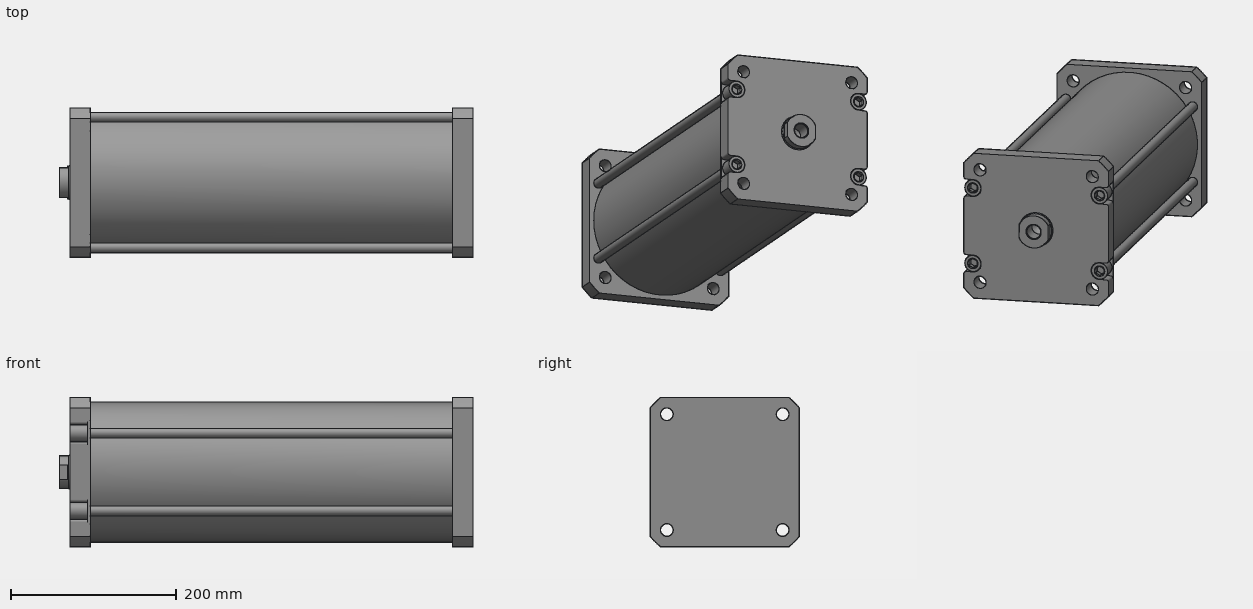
import cadquery as cq
import math

total_length = 499.2
rod_protrusion = 12.5
plate_thickness = 25.0
plate_side = 180.0
barrel_radius = 85.0

front_plate_x = rod_protrusion
barrel_start_x = front_plate_x + plate_thickness
rear_plate_x = total_length - plate_thickness
barrel_length = rear_plate_x - barrel_start_x

corner_setback = 12.5
mounting_offset = 70.0
mounting_diameter = 15.0

tie_y = 79.0
tie_z = 47.0
tie_diameter = 12.0
tie_engagement = 15.0
head_diameter = 20.0
head_length = 21.5
socket_sides = 6
socket_width = 10.0
socket_mouth_diameter = 13.0
socket_depth = 10.0
pocket_width = 21.0
pocket_depth = head_length
pocket_mouth_rounding = 3.0
tie_places = [(y, z) for y in (-tie_y, tie_y) for z in (-tie_z, tie_z)]

rod_diameter = 42.0
rod_end_diameter = 40.0
rod_flat_width = 36.0
rod_flat_length = 10.0
shoulder_start_x = 11.0
shoulder_length = 1.5
bore_diameter = 17.0
bore_chamfer = 1.0
bore_depth = 25.0
drill_point_angle = 118.0


def section_at(x):
    """Workplane facing +X at the given x; its local axes are Y and Z."""
    return cq.Workplane("YZ", origin=(x, 0, 0))


def cylinder(x, diameter, length, places=((0, 0),)):
    return section_at(x).pushPoints(places).circle(diameter / 2).extrude(length)


def make_plate_blank(x):
    """Square plate with corners turned about the axis and four mounting holes."""
    half_side = plate_side / 2
    corner_radius = math.hypot(half_side, half_side - corner_setback)
    square = section_at(x).rect(plate_side, plate_side).extrude(plate_thickness)
    plate = square.intersect(cylinder(x, 2 * corner_radius, plate_thickness))
    mounting_places = [(y, z) for y in (-mounting_offset, mounting_offset)
                       for z in (-mounting_offset, mounting_offset)]
    return plate.cut(cylinder(x, mounting_diameter, plate_thickness, mounting_places))


def make_head_pocket(y, z):
    """Round-ended pocket that opens through the nearer Y side with a flared, rounded mouth."""
    side = math.copysign(1, y)
    half_width = pocket_width / 2
    side_y = side * plate_side / 2
    flare_y = side_y - side * pocket_mouth_rounding
    inset = pocket_mouth_rounding * (1 - math.sqrt(0.5))
    return (
        section_at(front_plate_x)
        .moveTo(y, z + half_width)
        .lineTo(flare_y, z + half_width)
        .threePointArc(
            (side_y - side * inset, z + half_width + inset),
            (side_y, z + half_width + pocket_mouth_rounding),
        )
        .lineTo(side_y, z - half_width - pocket_mouth_rounding)
        .threePointArc(
            (side_y - side * inset, z - half_width - inset),
            (flare_y, z - half_width),
        )
        .lineTo(y, z - half_width)
        .threePointArc((y - side * half_width, z), (y, z + half_width))
        .close()
        .extrude(pocket_depth)
    )


def make_front_plate():
    plate = make_plate_blank(front_plate_x)
    plate = plate.cut(cylinder(front_plate_x, rod_diameter, plate_thickness))
    plate = plate.cut(cylinder(front_plate_x, tie_diameter, plate_thickness, tie_places))
    for y, z in tie_places:
        plate = plate.cut(make_head_pocket(y, z))
    return plate


def make_rear_plate():
    plate = make_plate_blank(rear_plate_x)
    return plate.cut(cylinder(rear_plate_x, tie_diameter, tie_engagement, tie_places))


def make_barrel():
    return cylinder(barrel_start_x, 2 * barrel_radius, barrel_length)


def make_piston_rod():
    """Rod end with two wrench flats and a drilled axial bore; its inner end meets the barrel."""
    rod_radius = rod_diameter / 2
    end_radius = rod_end_diameter / 2
    bore_radius = bore_diameter / 2
    mouth_radius = bore_radius + bore_chamfer
    point_length = bore_radius / math.tan(math.radians(drill_point_angle / 2))
    half_profile = [
        (0, mouth_radius),
        (0, end_radius),
        (shoulder_start_x, end_radius),
        (shoulder_start_x + shoulder_length, rod_radius),
        (barrel_start_x, rod_radius),
        (barrel_start_x, 0),
        (bore_depth + point_length, 0),
        (bore_depth, bore_radius),
        (bore_chamfer, bore_radius),
    ]
    rod = cq.Workplane("XY").polyline(half_profile).close().revolve(360, (0, 0), (1, 0))
    flat_blank = section_at(0).rect(rod_flat_width, rod_diameter).extrude(rod_flat_length)
    rear_blank = cylinder(rod_flat_length, rod_diameter, barrel_start_x - rod_flat_length)
    return rod.intersect(flat_blank.union(rear_blank))


def make_tie_rod(y, z):
    """Long rod whose front head has a hexagon socket with a conical mouth."""
    place = [(y, z)]
    shank_end_x = rear_plate_x + tie_engagement
    head = cylinder(front_plate_x, head_diameter, head_length, place)
    shank_x = front_plate_x + head_length
    shank = cylinder(shank_x, tie_diameter, shank_end_x - shank_x, place)
    socket_corner_diameter = socket_width / math.cos(math.pi / socket_sides)
    socket = (
        section_at(front_plate_x)
        .center(y, z)
        .transformed(rotate=(0, 0, 90))
        .polygon(socket_sides, socket_corner_diameter)
        .extrude(socket_depth)
    )
    mouth_radius = socket_mouth_diameter / 2
    mouth = cq.Solid.makeCone(
        mouth_radius, 0, mouth_radius, cq.Vector(front_plate_x, y, z), cq.Vector(1, 0, 0)
    )
    return head.union(shank).cut(socket).cut(mouth)


front_plate = make_front_plate()
rear_plate = make_rear_plate()
barrel = make_barrel()
piston_rod = make_piston_rod()
tie_rods = [make_tie_rod(y, z) for y, z in tie_places]

result = cq.Compound.makeCompound(
    [front_plate.val(), rear_plate.val(), barrel.val(), piston_rod.val()]
    + [tie_rod.val() for tie_rod in tie_rods]
)